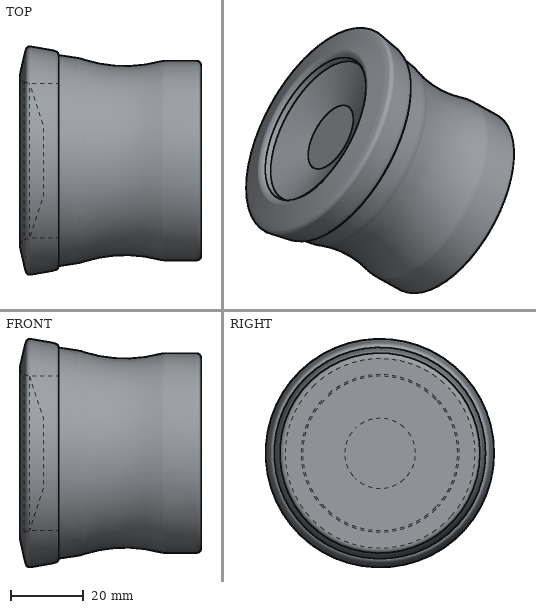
import cadquery as cq

knob_end_x = 49.9
base_radius = 55.0 / 2
base_end_round = 1.4
base_start_x = 39.9
shoulder_x = 10.7
shoulder_radius = 29.1
neck_cone_end_x = 16.05
neck_cone_end_radius = 28.25
waist_start_x = 17.8
waist_start_radius = 27.75
waist_middle_x = 28.65
waist_radius = 26.05
waist_end_x = 38.6
waist_end_radius = 27.3

spigot_radius = 21.3
spigot_front_x = 2.65
dish_floor_radius = 9.7
dish_floor_x = 6.4

lip_radius = 23.6
bore_mouth_radius = 21.7
bore_mouth_x = 1.1
face_outer_x = 1.25
face_outer_radius = 29.2
corner_x = 1.65
corner_radius = 30.45
crown_x = 2.3
crown_radius = 31.35
rim_x = 3.2
rim_radius = 31.4
rim_back_x = 8.6
rim_back_radius = 30.45
rim_back_round_x = 9.95
rim_back_round_radius = 30.1
rim_end_radius = 29.2


def revolve_about_x(outline):
    """Turn a closed half outline, drawn as (x, radius), about the X axis."""
    return outline.close().revolve(360, (0, 0, 0), (1, 0, 0))


def make_knob():
    """Waisted knob whose front spigot carries a conical dish."""
    outline = (
        cq.Workplane("XY")
        .moveTo(dish_floor_x, 0)
        .lineTo(dish_floor_x, dish_floor_radius)
        .lineTo(spigot_front_x, spigot_radius)
        .lineTo(shoulder_x, spigot_radius)
        .lineTo(shoulder_x, shoulder_radius)
        .lineTo(neck_cone_end_x, neck_cone_end_radius)
        .tangentArcPoint((waist_start_x, waist_start_radius), relative=False)
        .threePointArc((waist_middle_x, waist_radius), (waist_end_x, waist_end_radius))
        .tangentArcPoint((base_start_x, base_radius), relative=False)
        .lineTo(knob_end_x, base_radius)
        .lineTo(knob_end_x, 0)
    )
    knob = revolve_about_x(outline)
    return knob.faces(">X").edges().fillet(base_end_round)


def make_rim_ring():
    """Rounded ring seated on the spigot and against the knob's shoulder."""
    lip_round_part = 0.65
    lip_round_middle = (
        bore_mouth_x * (1 - lip_round_part),
        lip_radius - (lip_radius - bore_mouth_radius) * lip_round_part,
    )
    outline = (
        cq.Workplane("XY")
        .moveTo(0, lip_radius)
        .lineTo(face_outer_x, face_outer_radius)
        .tangentArcPoint((corner_x, corner_radius), relative=False)
        .threePointArc((crown_x, crown_radius), (rim_x, rim_radius))
        .lineTo(rim_back_x, rim_back_radius)
        .tangentArcPoint((rim_back_round_x, rim_back_round_radius), relative=False)
        .tangentArcPoint((shoulder_x, rim_end_radius), relative=False)
        .lineTo(shoulder_x, spigot_radius)
        .lineTo(spigot_front_x, spigot_radius)
        .lineTo(bore_mouth_x, bore_mouth_radius)
        .threePointArc(lip_round_middle, (0, lip_radius))
    )
    return revolve_about_x(outline)


knob = make_knob()
rim_ring = make_rim_ring()
result = cq.Compound.makeCompound([knob.val(), rim_ring.val()])